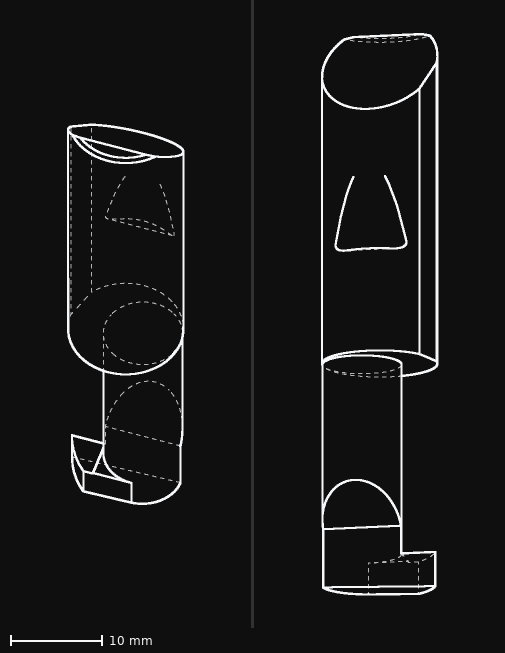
import cadquery as cq
import math

total_height = 63.5
shank_length = 38.1
shank_radius = 12.7 / 2
shank_bottom = total_height - shank_length
slant_angle = 45.0
top_land_edge_y = -4.45
rim_chamfer_width = 0.5
rim_chamfer_height = 0.3

flat_front_y = 0.0
flat_back_y = 3.7

notch_depth = 1.4
notch_bottom = 36.95
notch_corner_radius = 0.9
notch_slope_angle = 9.0

neck_radius = 4.36
neck_center_x = shank_radius - neck_radius
rake_face_y = 0.0
rake_runout_bottom = 7.0
rake_runout_angle = 45.0

head_top = 4.0
head_step = 0.12
head_left_x = -6.22
head_nose_radius = 10.0
head_nose_end_x = -3.48
head_front_y = -neck_radius
head_right_x = 2.09

end_rise_angle = 2.0
end_relief_angle = 2.0

reach = 4 * shank_radius


def slope(angle):
    return math.tan(math.radians(angle))


def prism_along_x(points):
    """Extrude a (Y, Z) outline right across the part."""
    return cq.Workplane("YZ").polyline(points).close().extrude(reach, both=True)


def make_shank():
    shank = cq.Workplane("XY").workplane(offset=shank_bottom).circle(shank_radius).extrude(shank_length)
    shank = shank.faces(">Z").chamfer(rim_chamfer_height, rim_chamfer_width)
    return shank.cut(side_flat()).cut(slanted_end()).cut(clamping_notch())


def side_flat():
    front_x = -math.sqrt(shank_radius**2 - flat_front_y**2)
    back_x = -math.sqrt(shank_radius**2 - flat_back_y**2)
    outline = [
        (front_x, flat_front_y),
        (back_x, flat_back_y),
        (front_x, flat_back_y),
    ]
    return cq.Workplane("XY").polyline(outline).close().extrude(total_height)


def slanted_end():
    drop = reach * slope(slant_angle)
    return prism_along_x([
        (top_land_edge_y, total_height),
        (top_land_edge_y + reach, total_height - drop),
        (top_land_edge_y + reach, total_height),
    ])


def clamping_notch():
    floor_y = shank_radius - notch_depth
    deepest_z = notch_bottom + notch_corner_radius
    run_out_z = deepest_z + notch_depth / slope(notch_slope_angle)
    corner_mid_y = floor_y + notch_corner_radius * (1 - math.sqrt(0.5))
    corner_mid_z = deepest_z - notch_corner_radius * math.sqrt(0.5)
    return (
        cq.Workplane("YZ")
        .moveTo(shank_radius, run_out_z)
        .lineTo(floor_y, deepest_z)
        .threePointArc((corner_mid_y, corner_mid_z), (floor_y + notch_corner_radius, notch_bottom))
        .lineTo(shank_radius, notch_bottom)
        .close()
        .extrude(reach, both=True)
    )


def make_neck():
    neck = cq.Workplane("XY").center(neck_center_x, 0).circle(neck_radius).extrude(shank_bottom)
    return neck.cut(rake_face())


def rake_face():
    """Half of the neck removed, running out up the +Y side."""
    rise = reach * slope(rake_runout_angle)
    return prism_along_x([
        (rake_face_y, 0),
        (rake_face_y, rake_runout_bottom),
        (rake_face_y + reach, rake_runout_bottom + rise),
        (rake_face_y + reach, 0),
    ])


def make_head():
    nose_start = cq.Vector(head_left_x, rake_face_y)
    nose_end = cq.Vector(head_nose_end_x, head_front_y)
    nose_chord = nose_end - nose_start
    half_chord = nose_chord.Length / 2
    bulge = head_nose_radius - math.sqrt(head_nose_radius**2 - half_chord**2)
    outward = cq.Vector(nose_chord.y, -nose_chord.x).normalized()
    nose_middle = nose_start + nose_chord / 2 + outward * bulge

    head = (
        cq.Workplane("XY")
        .moveTo(nose_start.x, nose_start.y)
        .threePointArc((nose_middle.x, nose_middle.y), (nose_end.x, nose_end.y))
        .lineTo(head_right_x, head_front_y)
        .lineTo(head_right_x, rake_face_y)
        .close()
        .extrude(head_top)
    )
    return head.cut(overhang_step())


def overhang_step():
    """Lowers the top of the head where it overhangs the neck."""
    neck_left_x = neck_center_x - neck_radius
    return (
        cq.Workplane("XY")
        .workplane(offset=head_top - head_step)
        .rect(reach, reach)
        .extrude(head_step)
        .translate((neck_left_x - reach / 2, 0, 0))
    )


def end_relief():
    """Space below the sloping end face, which is lowest at the cutting corner."""
    normal = cq.Vector(-slope(end_rise_angle), slope(end_relief_angle), 1)
    end_plane = cq.Plane(origin=(head_left_x, rake_face_y, 0), xDir=(1, 0, slope(end_rise_angle)), normal=normal)
    return cq.Workplane(end_plane).rect(2 * reach, 2 * reach).extrude(-reach)


result = make_shank().union(make_neck()).union(make_head()).cut(end_relief())